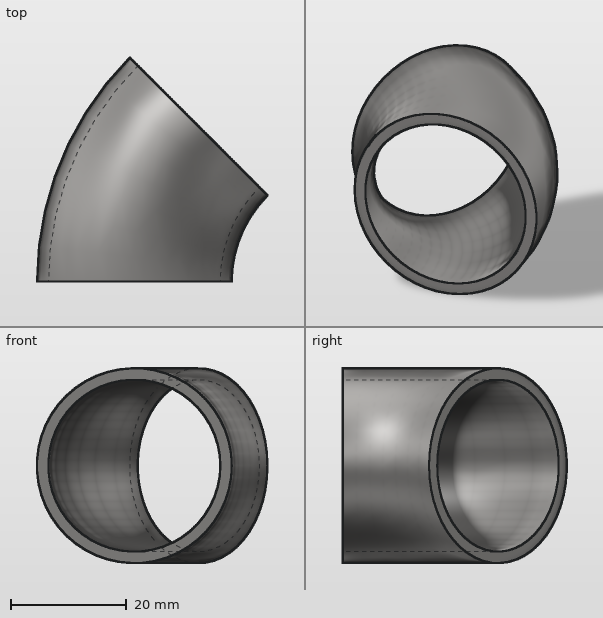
import cadquery as cq
import math

overall_length = 39.9
outer_diameter = 33.7
wall = 2.0
bend_angle = 45.0

outer_radius = outer_diameter / 2
inner_radius = outer_radius - wall

bend_cosine = math.cos(math.radians(bend_angle))
bend_radius = (overall_length - outer_radius * (1 + bend_cosine)) / (1 - bend_cosine)

end_ring = cq.Workplane("XZ").circle(outer_radius).circle(inner_radius)

result = end_ring.revolve(bend_angle, (bend_radius, 0, 0), (bend_radius, -1, 0))